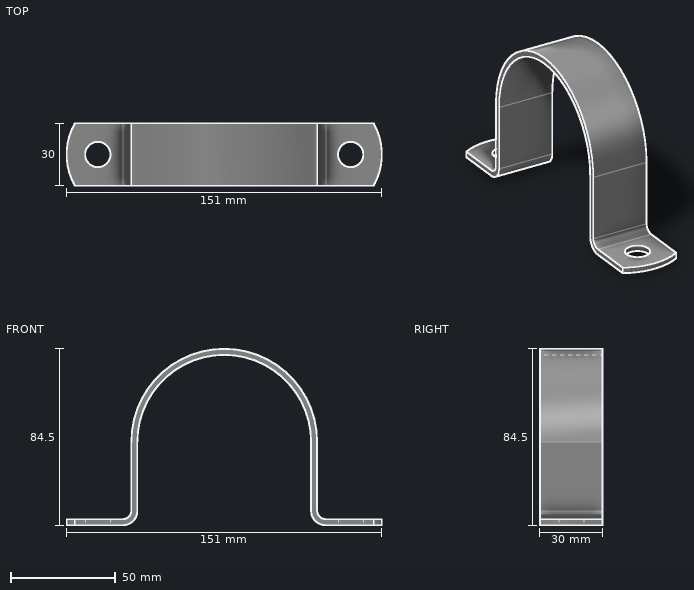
import cadquery as cq

strap_width = 30.0
thickness = 3.0
inner_radius = 41.5
arch_centre_height = 40.0
overall_length = 151.0
bend_inner_radius = 4.0
foot_end_radius = 30.0
hole_diameter = 12.0
hole_spacing = 121.0

outer_radius = inner_radius + thickness
bend_outer_radius = bend_inner_radius + thickness
half_length = overall_length / 2
overall_height = arch_centre_height + outer_radius
bend_centre_x = outer_radius + bend_inner_radius
bend_centre_z = thickness + bend_inner_radius


def arch():
    """Half-ring over the top of the strap."""
    return (
        cq.Workplane("XZ")
        .moveTo(-outer_radius, arch_centre_height)
        .threePointArc((0, overall_height), (outer_radius, arch_centre_height))
        .lineTo(inner_radius, arch_centre_height)
        .threePointArc((0, arch_centre_height + inner_radius), (-inner_radius, arch_centre_height))
        .close()
        .extrude(strap_width / 2, both=True)
    )


def leg_and_foot():
    """Straight leg, rounded bend and flat foot on the +X side."""
    diagonal = 0.5 ** 0.5
    inner_mid = (bend_centre_x - bend_inner_radius * diagonal, bend_centre_z - bend_inner_radius * diagonal)
    outer_mid = (bend_centre_x - bend_outer_radius * diagonal, bend_centre_z - bend_outer_radius * diagonal)
    return (
        cq.Workplane("XZ")
        .moveTo(inner_radius, arch_centre_height)
        .lineTo(inner_radius, bend_centre_z)
        .threePointArc(outer_mid, (bend_centre_x, 0))
        .lineTo(half_length, 0)
        .lineTo(half_length, thickness)
        .lineTo(bend_centre_x, thickness)
        .threePointArc(inner_mid, (outer_radius, bend_centre_z))
        .lineTo(outer_radius, arch_centre_height)
        .close()
        .extrude(strap_width / 2, both=True)
    )


def rounded_end_envelope():
    """Block with arched ends that trims the feet to their rounded outline."""
    half_width = strap_width / 2
    end_rise = foot_end_radius - (foot_end_radius ** 2 - half_width ** 2) ** 0.5
    corner_x = half_length - end_rise
    return (
        cq.Workplane("XY")
        .moveTo(-corner_x, -half_width)
        .lineTo(corner_x, -half_width)
        .threePointArc((half_length, 0), (corner_x, half_width))
        .lineTo(-corner_x, half_width)
        .threePointArc((-half_length, 0), (-corner_x, -half_width))
        .close()
        .extrude(overall_height)
    )


def mounting_holes():
    """Through holes, one in each foot."""
    return (
        cq.Workplane("XY")
        .pushPoints([(-hole_spacing / 2, 0), (hole_spacing / 2, 0)])
        .circle(hole_diameter / 2)
        .extrude(thickness)
    )


right_side = leg_and_foot()
left_side = right_side.mirror("YZ")
strap = arch().union(right_side).union(left_side)
result = strap.intersect(rounded_end_envelope()).cut(mounting_holes())